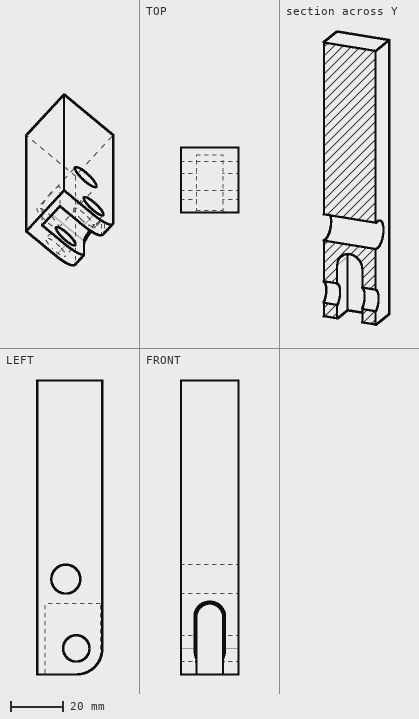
import cadquery as cq

width = 22.0
depth = 25.0
height = 112.5
corner_radius = 10.0

pivot_diameter = 10.0
pivot_y = corner_radius
pivot_z = corner_radius
upper_hole_diameter = 11.0
upper_hole_y = 14.0
upper_hole_z = 36.5

slot_width = 10.3
back_wall = 3.0
slot_depth = depth - back_wall
slot_arc_z = 22.0
slot_chamfer = 0.75


def cross_cylinder(diameter, y, z):
    """Cylinder along X over the whole width of the bar."""
    return (
        cq.Workplane("YZ", origin=(-width / 2, y, z))
        .circle(diameter / 2)
        .extrude(width)
    )


def slot():
    """Slot volume: straight sides closed by a half circle, cut back from the front face."""
    half_width = slot_width / 2
    return (
        cq.Workplane("XZ")
        .moveTo(-half_width, 0)
        .lineTo(-half_width, slot_arc_z)
        .threePointArc((0, slot_arc_z + half_width), (half_width, slot_arc_z))
        .lineTo(half_width, 0)
        .close()
        .extrude(-slot_depth)
    )


def slotted_bar():
    """Square-cornered bar with the slot cut in and its front lip chamfered at 45 degrees."""
    block = cq.Workplane("XY").box(width, depth, height, centered=(True, False, False))
    lip_region = cq.selectors.BoxSelector(
        (-slot_width, -slot_chamfer, slot_chamfer),
        (slot_width, slot_chamfer, slot_arc_z + slot_width),
    )
    return block.cut(slot()).edges(lip_region).chamfer(slot_chamfer)


def corner_waste():
    """Material outside the rounded lower front edge."""
    square = cq.Workplane("XY").box(width, corner_radius, corner_radius, centered=(True, False, False))
    return square.cut(cross_cylinder(2 * corner_radius, corner_radius, corner_radius))


result = (
    slotted_bar()
    .cut(corner_waste())
    .cut(cross_cylinder(pivot_diameter, pivot_y, pivot_z))
    .cut(cross_cylinder(upper_hole_diameter, upper_hole_y, upper_hole_z))
)